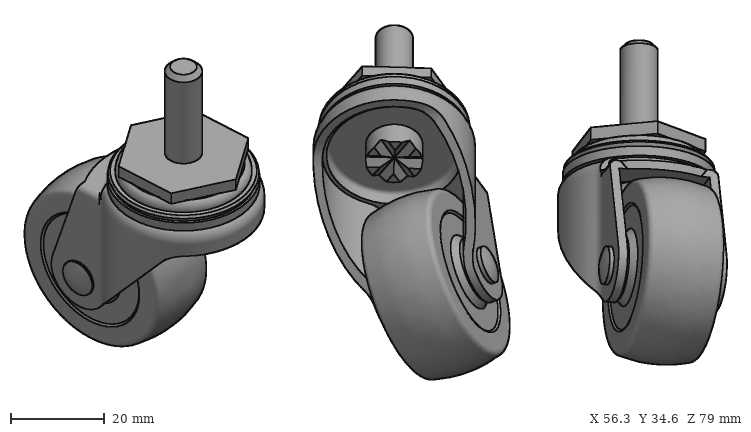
import cadquery as cq
import math


trail = 19.0
wheel_radius = 20.0
tread_half_width = 8.4
tread_edge_radius = 18.7
tread_round = 1.3
rim_radius = 13.8
web_radius = 13.35
web_recess = 0.4
boss_half_width = 9.5
boss_radius = 7.1
boss_base_radius = 8.4

axle_radius = 3.1
head_radius = 4.1
front_head_rim = 0.5
back_head_rim = 0.95
head_crown = 0.95

sheet = 2.0
skirt_radius = 17.3
leg_outer = 12.0
neck_fillet = 4.0
flange_top = 24.1
flange_radius = 21.7
flange_round = 1.5
dome_top = 27.3
dome_round = 2.9
step_radius = 16.4
step_end_x = -12.8
leg_end_radius = 7.75
leg_front_x = -19.5
skirt_bottom = 21.3
rear_slope = 50.0
rear_slope_blend = 6.0

ring_radius = 16.3
ring_top = 29.5

stem_top = 59.0
stud_radius = 4.0
stud_chamfer = 1.2
hex_flats = 25.4
hex_bottom = 33.2
hex_top = 36.0
cap_top_radius = 13.1
cap_base_radius = 14.6
cap_bulge = 0.3
lip_top = 31.05
lip_widest = 30.5
lip_edge_radius = 15.65
lip_radius = 16.1
shank_radius = 6.1
shank_bottom = 20.1
notch_width = 3.5
notch_depth = 1.35
notch_grooves = 3

flange_bottom = flange_top - sheet
leg_inner = leg_outer - sheet
edge_reach = 0.8
hex_corners = hex_flats / math.cos(math.pi / 6)


def cylinder(radius, bottom, top):
    """Upright cylinder on the swivel axis."""
    return cq.Workplane("XY").workplane(offset=bottom).circle(radius).extrude(top - bottom)


def revolve_about_axle(profile):
    """Turn a profile drawn as (radius, Y) around the wheel axis."""
    turned = profile.close().revolve(360, (0, 0, 0), (0, 1, 0))
    return turned.translate((-trail, 0, 0))


def make_wheel():
    web_face = tread_half_width - web_recess
    profile = (
        cq.Workplane("XY")
        .moveTo(axle_radius, -boss_half_width)
        .lineTo(boss_radius, -boss_half_width)
        .lineTo(boss_base_radius, -web_face)
        .lineTo(web_radius, -web_face)
        .lineTo(rim_radius, -tread_half_width)
        .lineTo(tread_edge_radius, -tread_half_width)
        .threePointArc((wheel_radius, 0), (tread_edge_radius, tread_half_width))
        .lineTo(rim_radius, tread_half_width)
        .lineTo(web_radius, web_face)
        .lineTo(boss_base_radius, web_face)
        .lineTo(boss_radius, boss_half_width)
        .lineTo(axle_radius, boss_half_width)
    )
    tread_edges = cq.selectors.RadiusNthSelector(-1)
    return revolve_about_axle(profile).faces("|Y").edges(tread_edges).fillet(tread_round)


def make_axle():
    crown_sphere = (head_radius**2 + head_crown**2) / (2 * head_crown)
    half_angle = math.asin(head_radius / crown_sphere) / 2
    mid_r = crown_sphere * math.sin(half_angle)
    mid_rise = head_crown - crown_sphere * (1 - math.cos(half_angle))
    front_rim = -(leg_outer + front_head_rim)
    back_rim = leg_outer + back_head_rim
    profile = (
        cq.Workplane("XY")
        .moveTo(0, front_rim - head_crown)
        .threePointArc((mid_r, front_rim - mid_rise), (head_radius, front_rim))
        .lineTo(head_radius, -leg_outer)
        .lineTo(axle_radius, -leg_outer)
        .lineTo(axle_radius, leg_outer)
        .lineTo(head_radius, leg_outer)
        .lineTo(head_radius, back_rim)
        .threePointArc((mid_r, back_rim + mid_rise), (0, back_rim + head_crown))
    )
    return revolve_about_axle(profile)


def keyhole_prism(radius, half_width, blend, bottom, top):
    """Round skirt running into a straight channel towards -X, blended by concave arcs."""
    channel_end = -(trail + 2 * leg_end_radius)
    height = top - bottom
    channel = (
        cq.Workplane("XY")
        .workplane(offset=bottom)
        .moveTo(channel_end / 2, 0)
        .rect(-channel_end, 2 * half_width)
        .extrude(height)
    )
    corner_x = -math.sqrt(radius**2 - half_width**2)
    corners = cq.selectors.BoxSelector(
        (corner_x - edge_reach, -half_width - edge_reach, bottom),
        (corner_x + edge_reach, half_width + edge_reach, top),
    )
    return cylinder(radius, bottom, top).union(channel).edges("|Z").edges(corners).fillet(blend)


def round_top(prism, rounding):
    """Round the top rim of a prism, except its edge at the -X end."""
    return prism.faces(">Z").edges("not <X").fillet(rounding)


def make_step():
    """Front of the dome: a wall rounded at its top and flared into the flange."""
    diagonal = flange_round * math.sqrt(0.5)
    round_x = step_radius - flange_round
    round_z = dome_top - flange_round
    flare_x = step_radius + flange_round
    flare_z = flange_top + flange_round
    return (
        cq.Workplane("XZ")
        .moveTo(0, flange_bottom)
        .lineTo(flare_x, flange_bottom)
        .lineTo(flare_x, flange_top)
        .threePointArc((flare_x - diagonal, flare_z - diagonal), (step_radius, flare_z))
        .lineTo(step_radius, round_z)
        .threePointArc((round_x + diagonal, round_z + diagonal), (round_x, dome_top))
        .lineTo(0, dome_top)
        .close()
        .revolve(360, (0, 0, 0), (0, 1, 0))
    )


def fork_side_profile():
    """Side outline of the legs and skirt, as a block across the full width."""
    dx = leg_front_x + trail
    reach = math.hypot(dx, flange_top)
    front_angle = math.atan2(flange_top, dx) + math.acos(leg_end_radius / reach)
    slope = math.radians(rear_slope)
    rear_angle = slope - math.pi / 2

    def on_leg_end(angle):
        return (
            -trail + leg_end_radius * math.cos(angle),
            leg_end_radius * math.sin(angle),
        )

    rear_start = on_leg_end(rear_angle)
    knee_x = rear_start[0] + (skirt_bottom - rear_start[1]) / math.tan(slope)
    outline = (
        cq.Workplane("XZ")
        .moveTo(leg_front_x, dome_top)
        .lineTo(leg_front_x, flange_top)
        .lineTo(*on_leg_end(front_angle))
        .threePointArc(on_leg_end(-math.pi / 2), rear_start)
        .lineTo(knee_x, skirt_bottom)
        .lineTo(skirt_radius, skirt_bottom)
        .lineTo(skirt_radius, dome_top)
        .close()
        .extrude(skirt_radius, both=True)
    )
    knee = cq.selectors.BoxSelector(
        (knee_x - edge_reach, -2 * skirt_radius, skirt_bottom - edge_reach),
        (knee_x + edge_reach, 2 * skirt_radius, skirt_bottom + edge_reach),
    )
    return outline.edges(knee).fillet(rear_slope_blend)


def make_fork():
    leg_bottom = -leg_end_radius
    legs = keyhole_prism(skirt_radius, leg_outer, neck_fillet, leg_bottom, flange_top)
    legs = round_top(legs, flange_round)

    dome = keyhole_prism(skirt_radius, leg_outer, neck_fillet, flange_bottom, dome_top)
    dome = round_top(dome, dome_round)
    rear_length = skirt_radius - step_end_x
    rear_block = (
        cq.Workplane("XY")
        .workplane(offset=flange_bottom)
        .center(step_end_x + rear_length / 2, 0)
        .rect(rear_length, 2 * skirt_radius)
        .extrude(dome_top - flange_bottom)
    )
    dome = dome.intersect(make_step().union(rear_block))

    inside = keyhole_prism(
        skirt_radius - sheet, leg_inner, neck_fillet + sheet, leg_bottom, flange_bottom
    )
    dome_inside = cylinder(step_radius - sheet, leg_bottom, dome_top - sheet)
    dome_inside = dome_inside.faces(">Z").edges().fillet(dome_round - sheet)
    shell = legs.union(dome).cut(inside).cut(dome_inside)

    flange_limit = cylinder(flange_radius, flange_bottom, dome_top)
    fork = shell.intersect(fork_side_profile().union(flange_limit))

    axle_hole = (
        cq.Workplane("XZ")
        .center(-trail, 0)
        .circle(axle_radius)
        .extrude(leg_outer, both=True)
    )
    return fork.cut(axle_hole).cut(cylinder(shank_radius, flange_bottom, dome_top))


def make_seal_ring():
    return cylinder(ring_radius, dome_top, ring_top).cut(
        cylinder(shank_radius, dome_top, ring_top)
    )


def make_stem():
    cap_mid = (
        (cap_top_radius + cap_base_radius) / 2 + cap_bulge,
        (hex_bottom + lip_top) / 2 + cap_bulge,
    )
    cap_and_shank = (
        cq.Workplane("XZ")
        .moveTo(0, shank_bottom)
        .lineTo(shank_radius, shank_bottom)
        .lineTo(shank_radius, ring_top)
        .lineTo(lip_edge_radius, ring_top)
        .lineTo(lip_radius, lip_widest)
        .lineTo(lip_edge_radius, lip_top)
        .lineTo(cap_base_radius, lip_top)
        .threePointArc(cap_mid, (cap_top_radius, hex_bottom))
        .lineTo(0, hex_bottom)
        .close()
        .revolve(360, (0, 0, 0), (0, 1, 0))
    )
    hexagon = (
        cq.Workplane("XY")
        .workplane(offset=hex_bottom)
        .polygon(6, hex_corners)
        .extrude(hex_top - hex_bottom)
    )
    stud = cylinder(stud_radius, hex_top, stem_top).faces(">Z").chamfer(stud_chamfer)
    stem = cap_and_shank.union(hexagon).union(stud)

    groove = (
        cq.Workplane("YZ")
        .moveTo(-notch_width / 2, shank_bottom)
        .lineTo(0, shank_bottom + notch_depth)
        .lineTo(notch_width / 2, shank_bottom)
        .close()
        .extrude(shank_radius, both=True)
    )
    for i in range(notch_grooves):
        stem = stem.cut(groove.rotate((0, 0, 0), (0, 0, 1), i * 180 / notch_grooves))
    return stem


wheel = make_wheel()
axle = make_axle()
fork = make_fork()
seal_ring = make_seal_ring()
stem = make_stem()

result = cq.Compound.makeCompound(
    [wheel.val(), axle.val(), fork.val(), seal_ring.val(), stem.val()]
)